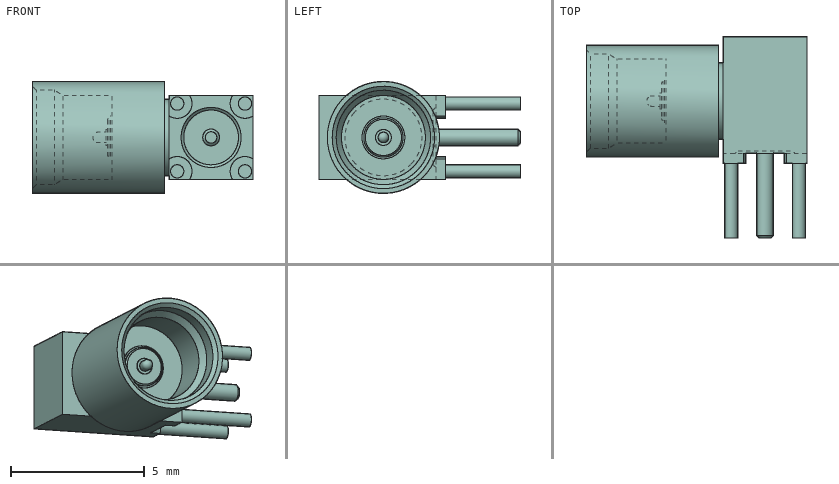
import cadquery as cq


total_length = 8.27
total_depth = 7.55

block_side = 3.15
block_depth = 4.75
block_back = 2.415

barrel_radius = 2.1
neck_radius = 1.44
neck_length = 0.165

bore_radius = 1.77
mouth_chamfer = 0.15
bore_depth = 0.83
taper_depth = 1.14
throat_radius = 1.57
floor_depth = 2.98

collar_radius = 0.8
collar_height = 0.05
insulator_radius = 0.74
insulator_height = 0.115
insulator_chamfer = 0.06
contact_base_radius = 0.3
contact_base_height = 0.05
contact_radius = 0.2
contact_length = 0.5

foot_radius = 0.55
foot_height = 0.37
pin_pitch = 2.54
ground_pin_radius = 0.25

signal_pin_radius = 0.315
signal_pin_chamfer = 0.1
recess_radius = 1.125
recess_depth = 0.1
recess_flare_angle = 45.0

block_left = total_length - block_side
block_center_x = total_length - block_side / 2
barrel_length = block_left - neck_length
foot_y = block_back - block_depth
seat_y = foot_y + foot_height
pin_tip_y = block_back - total_depth


def rod_along_x(radius, start, length):
    return cq.Workplane("YZ", origin=(start, 0, 0)).circle(radius).extrude(length)


def plane_facing_front(y):
    """Plane facing -Y, centered on the block: local x is X and local y is Z."""
    return cq.Workplane("XZ", origin=(block_center_x, y, 0))


def corner_points(workplane):
    return workplane.rect(pin_pitch, pin_pitch, forConstruction=True).vertices()


def make_block():
    seat_depth = block_back - seat_y
    seat_block = plane_facing_front(block_back).rect(block_side, block_side).extrude(seat_depth)
    foot_zone = plane_facing_front(seat_y).rect(block_side, block_side).extrude(foot_height)
    feet = corner_points(plane_facing_front(seat_y)).circle(foot_radius).extrude(foot_height)
    recess = (
        plane_facing_front(seat_y)
        .circle(recess_radius)
        .extrude(-recess_depth, taper=recess_flare_angle)
    )
    return seat_block.cut(recess).union(feet.intersect(foot_zone))


def make_barrel():
    shell = rod_along_x(barrel_radius, 0, barrel_length)
    neck = rod_along_x(neck_radius, barrel_length, neck_length)
    bore = (
        cq.Workplane("XY")
        .polyline(
            [
                (0, 0),
                (0, bore_radius + mouth_chamfer),
                (mouth_chamfer, bore_radius),
                (bore_depth, bore_radius),
                (taper_depth, throat_radius),
                (floor_depth, throat_radius),
                (floor_depth, 0),
            ]
        )
        .close()
        .revolve(360, (0, 0, 0), (1, 0, 0))
    )
    return shell.union(neck).cut(bore)


def make_contact():
    collar_face = floor_depth - collar_height
    insulator_face = collar_face - insulator_height
    base_face = insulator_face - contact_base_height
    collar = rod_along_x(collar_radius, floor_depth, -collar_height)
    insulator = (
        rod_along_x(insulator_radius, collar_face, -insulator_height)
        .faces("<X")
        .chamfer(insulator_chamfer)
    )
    base = rod_along_x(contact_base_radius, insulator_face, -contact_base_height)
    dome_center = base_face - contact_length + contact_radius
    rod = rod_along_x(contact_radius, base_face, dome_center - base_face)
    dome = cq.Workplane("XY").sphere(contact_radius).translate((dome_center, 0, 0))
    return collar.union(insulator).union(base).union(rod).union(dome)


def make_pins():
    ground_pin_length = foot_y - pin_tip_y
    ground_pins = corner_points(plane_facing_front(foot_y)).circle(ground_pin_radius).extrude(ground_pin_length)
    signal_root_y = seat_y + recess_depth
    signal_pin = (
        plane_facing_front(signal_root_y)
        .circle(signal_pin_radius)
        .extrude(signal_root_y - pin_tip_y)
        .faces("<Y")
        .chamfer(signal_pin_chamfer)
    )
    return ground_pins.union(signal_pin)


result = make_block().union(make_barrel()).union(make_contact()).union(make_pins())